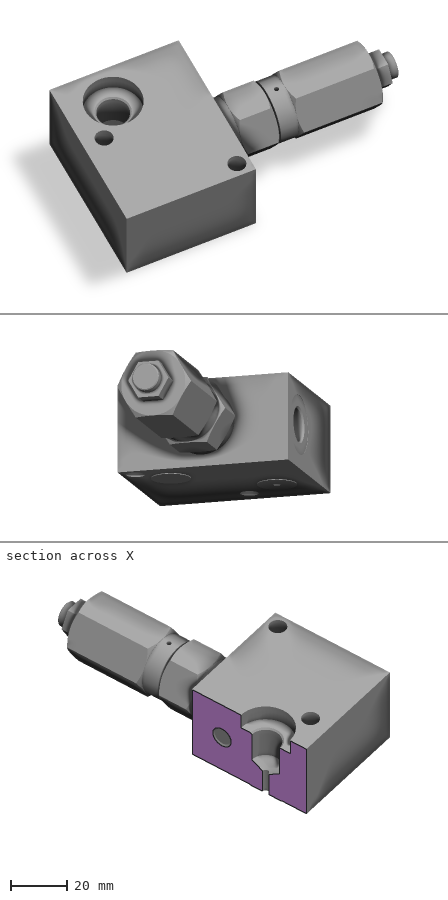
import cadquery as cq
import math


OVERALL_LENGTH = 120.3

BODY_WIDTH = 63.5
BODY_LENGTH = 51.0
BODY_HEIGHT = 32.0
TOP_Z = BODY_HEIGHT / 2
SIDE_X = -BODY_WIDTH / 2

MOUNT_DIAMETER = 6.7
MOUNT_POSITIONS = [(26.6, -5.0), (-4.1, -42.7)]

PORT_DIAMETER = 12.0
PORT_MOUTH_DIAMETER = 13.2
PORT_DEPTH = 13.0
SPOTFACE_DIAMETER = 21.7
DRILL_POINT_ANGLE = 118.0
TOP_PORT_X = -17.5
TOP_PORT_Y = -32.7
TOP_SPOTFACE_DEPTH = 6.3
TOP_PASSAGE_DIAMETER = 2.6
SIDE_PORT_Y = -13.2
SIDE_SPOTFACE_DEPTH = 0.1
SIDE_PORT_FLOOR_DIAMETER = 6.7

PAD_DIAMETER = 14.3
PAD_HEIGHT = 0.2
PAD_POSITIONS = [(TOP_PORT_X, TOP_PORT_Y), (16.0, SIDE_PORT_Y)]

COLLAR_DIAMETER = 23.6
NECK_DIAMETER = 16.8
LOWER_HEX_START = 4.3
LOWER_HEX_END = 18.8
UPPER_COLLAR_START = 19.5
UPPER_HEX_START = 26.5
UPPER_HEX_END = 59.7
LOCKNUT_END = 65.6
SCREW_END = OVERALL_LENGTH - BODY_LENGTH

HEX_FLATS = 23.8
HEX_END_DIAMETER = HEX_FLATS
HEX_CHAMFER_LENGTH = 1.2
LOCKNUT_FLATS = 13.0
SCREW_DIAMETER = 9.9
SCREW_CHAMFER = 0.4

VENT_DIAMETER = 1.8
VENT_DEPTH = 2.4
VENT_Y = 23.3


def corner_diameter(flats):
    """Diameter across the corners of a hexagon, from its width across flats."""
    return flats / math.cos(math.radians(30))


def rod(diameter, start, end):
    """Cylinder on the Y axis."""
    return cq.Workplane("XZ", origin=(0, start, 0)).circle(diameter / 2).extrude(start - end)


def hexagon(flats, start, end):
    """Hexagonal prism on the Y axis, with corners pointing along X."""
    return cq.Workplane("XZ", origin=(0, start, 0)).polygon(6, corner_diameter(flats)).extrude(start - end)


def chamfered_hexagon(start, end):
    """Wrench hexagon with its corners turned to a cone at both ends."""
    corner_radius = corner_diameter(HEX_FLATS) / 2
    end_radius = HEX_END_DIAMETER / 2
    envelope = (
        cq.Workplane("XY")
        .moveTo(0, start)
        .lineTo(end_radius, start)
        .lineTo(corner_radius, start + HEX_CHAMFER_LENGTH)
        .lineTo(corner_radius, end - HEX_CHAMFER_LENGTH)
        .lineTo(end_radius, end)
        .lineTo(0, end)
        .close()
        .revolve(360, (0, 0, 0), (0, 1, 0))
    )
    return hexagon(HEX_FLATS, start, end).intersect(envelope)


def port_cutter(spotface_depth, floor_diameter):
    """Port cavity that opens at Z = 0 and runs down the -Z axis."""
    bore_radius = PORT_DIAMETER / 2
    mouth_radius = PORT_MOUTH_DIAMETER / 2
    floor_radius = floor_diameter / 2
    mouth_z = -spotface_depth
    mouth_chamfer = mouth_radius - bore_radius
    bore_end_z = mouth_z - PORT_DEPTH
    half_point_angle = math.radians(DRILL_POINT_ANGLE / 2)
    floor_z = bore_end_z - (bore_radius - floor_radius) / math.tan(half_point_angle)
    return (
        cq.Workplane("XZ")
        .lineTo(SPOTFACE_DIAMETER / 2, 0)
        .lineTo(SPOTFACE_DIAMETER / 2, mouth_z)
        .lineTo(mouth_radius, mouth_z)
        .lineTo(bore_radius, mouth_z - mouth_chamfer)
        .lineTo(bore_radius, bore_end_z)
        .lineTo(floor_radius, floor_z)
        .lineTo(0, floor_z)
        .close()
        .revolve(360, (0, 0, 0), (0, 1, 0))
    )


def make_body():
    body = cq.Workplane("XY").box(BODY_WIDTH, BODY_LENGTH, BODY_HEIGHT).translate((0, -BODY_LENGTH / 2, 0))

    pads = (
        cq.Workplane("XY", origin=(0, 0, -TOP_Z))
        .pushPoints(PAD_POSITIONS)
        .circle(PAD_DIAMETER / 2)
        .extrude(-PAD_HEIGHT)
    )
    body = body.union(pads)

    through = BODY_HEIGHT + PAD_HEIGHT
    top_plane = cq.Workplane("XY", origin=(0, 0, TOP_Z))
    mounts = top_plane.pushPoints(MOUNT_POSITIONS).circle(MOUNT_DIAMETER / 2).extrude(-through)
    passage = top_plane.center(TOP_PORT_X, TOP_PORT_Y).circle(TOP_PASSAGE_DIAMETER / 2).extrude(-through)

    top_port = port_cutter(TOP_SPOTFACE_DEPTH, TOP_PASSAGE_DIAMETER)
    top_port = top_port.translate((TOP_PORT_X, TOP_PORT_Y, TOP_Z))

    side_port = port_cutter(SIDE_SPOTFACE_DEPTH, SIDE_PORT_FLOOR_DIAMETER)
    side_port = side_port.rotate((0, 0, 0), (0, 1, 0), -90).translate((SIDE_X, SIDE_PORT_Y, 0))

    return body.cut(mounts).cut(passage).cut(top_port).cut(side_port)


def make_cartridge():
    screw = rod(SCREW_DIAMETER, LOCKNUT_END, SCREW_END).faces(">Y").chamfer(SCREW_CHAMFER)
    cartridge = (
        rod(COLLAR_DIAMETER, 0, LOWER_HEX_START)
        .union(chamfered_hexagon(LOWER_HEX_START, LOWER_HEX_END))
        .union(rod(NECK_DIAMETER, LOWER_HEX_END, UPPER_COLLAR_START))
        .union(rod(COLLAR_DIAMETER, UPPER_COLLAR_START, UPPER_HEX_START))
        .union(chamfered_hexagon(UPPER_HEX_START, UPPER_HEX_END))
        .union(hexagon(LOCKNUT_FLATS, UPPER_HEX_END, LOCKNUT_END))
        .union(screw)
    )
    vent = (
        cq.Workplane("XY", origin=(0, VENT_Y, COLLAR_DIAMETER / 2))
        .circle(VENT_DIAMETER / 2)
        .extrude(-VENT_DEPTH)
    )
    return cartridge.cut(vent)


result = make_body().union(make_cartridge())